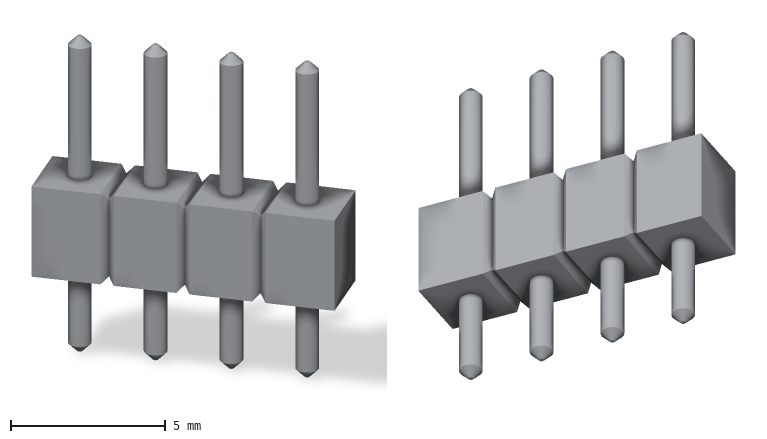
import cadquery as cq

pin_count = 4
housing_length = 10.16
housing_width = 2.54
housing_height = 3.18
groove_depth = 0.22
pin_length = 11.12
pin_diameter = 0.77
tip_height = 0.3
pin_below_housing = 3.0

pitch = housing_length / pin_count
pin_bottom = -pin_below_housing
pin_positions = [(i - (pin_count - 1) / 2) * pitch for i in range(pin_count)]
groove_positions = [x + pitch / 2 for x in pin_positions[:-1]]


def make_pin(x):
    """Round pin, coned at both ends, standing at the given X."""
    return (
        cq.Workplane("XY", origin=(x, 0, pin_bottom))
        .circle(pin_diameter / 2)
        .extrude(pin_length)
        .faces("<Z or >Z")
        .chamfer(tip_height)
    )


def make_groove_band(x):
    """V-groove around all four long sides: a slab minus its two-way tapered core."""
    band_width = 2 * groove_depth
    slab = cq.Workplane("XY", origin=(x, 0, 0)).box(
        band_width, housing_width, housing_height, centered=(True, True, False)
    )
    core = None
    for side in (-1, 1):
        half_core = (
            cq.Workplane("YZ", origin=(x + side * groove_depth, 0, housing_height / 2))
            .rect(housing_width, housing_height)
            .workplane(offset=-side * groove_depth)
            .rect(housing_width - 2 * groove_depth, housing_height - 2 * groove_depth)
            .loft(ruled=True)
        )
        core = half_core if core is None else core.union(half_core)
    return slab.cut(core)


def make_housing():
    """Insulating block, grooved between the pins and bored through for each pin."""
    block = cq.Workplane("XY").box(
        housing_length, housing_width, housing_height, centered=(True, True, False)
    )
    for x in groove_positions:
        block = block.cut(make_groove_band(x))
    pin_holes = (
        cq.Workplane("XY")
        .pushPoints([(x, 0) for x in pin_positions])
        .circle(pin_diameter / 2)
        .extrude(housing_height)
    )
    return block.cut(pin_holes)


housing = make_housing()
pins = [make_pin(x).solids().val() for x in pin_positions]

result = cq.Compound.makeCompound([housing.solids().val(), *pins])